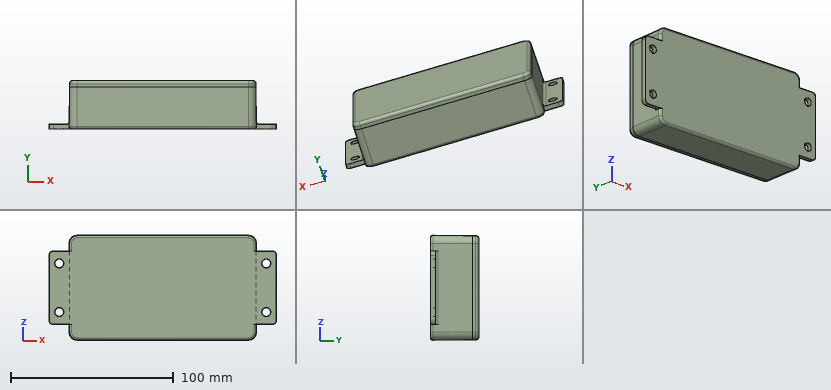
import cadquery as cq
import math

overall_length = 139.7
overall_depth = 29.9
box_length = 115.1
box_height = 64.5
corner_radius = 5.0
draft_angle = 0.5

cover_thickness = 4.2
cover_edge_radius = 2.1
base_edge_radius = 1.5

flange_height = 45.1
flange_thickness = 3.1
flange_corner_radius = 2.7
flange_root_radius = 1.5

hole_diameter = 5.3
hole_spacing_x = 127.1
hole_spacing_z = 29.9

mounting_face_y = -overall_depth / 2
cover_face_y = overall_depth / 2
seam_y = cover_face_y - cover_thickness
draft_slope = math.tan(math.radians(draft_angle))


def section_plane(y):
    """Plane normal to Y whose local axes are X and Z, facing -Y."""
    return cq.Workplane("XZ", origin=(0, y, 0))


def drafted_block(start_y, end_y):
    """Round-cornered block that narrows toward +Y with the wall draft."""
    inset = (start_y - mounting_face_y) * draft_slope
    outline = cq.Sketch().rect(box_length - 2 * inset, box_height - 2 * inset)
    outline = outline.vertices().fillet(corner_radius - inset)
    return section_plane(start_y).placeSketch(outline).extrude(start_y - end_y, taper=draft_angle)


def make_flange():
    """Plate flush with the mounting face that sticks out past both ends of the box."""
    plate = section_plane(mounting_face_y).rect(overall_length, flange_height).extrude(-flange_thickness)
    return plate.edges("|Y").fillet(flange_corner_radius)


def round_flange_roots(housing):
    """Fillet the inside edges where the flange meets the two end walls."""
    flange_top_y = mounting_face_y + flange_thickness
    wall_x = box_length / 2 - flange_thickness * draft_slope
    for side in (-1, 1):
        root_edge = cq.selectors.NearestToPointSelector((side * wall_x, flange_top_y, 0))
        housing = housing.edges(root_edge).fillet(flange_root_radius)
    return housing


def make_housing():
    """Main box with its rounded mounting-face edge, end flanges and screw holes."""
    housing = drafted_block(mounting_face_y, seam_y).faces("<Y").edges().fillet(base_edge_radius)
    housing = housing.union(make_flange())
    housing = round_flange_roots(housing)
    holes = (
        section_plane(mounting_face_y)
        .rect(hole_spacing_x, hole_spacing_z, forConstruction=True)
        .vertices()
        .circle(hole_diameter / 2)
        .extrude(-flange_thickness)
    )
    return housing.cut(holes)


def make_cover():
    """Flat cover that continues the drafted walls and has a rounded outer edge."""
    return drafted_block(seam_y, cover_face_y).faces(">Y").edges().fillet(cover_edge_radius)


housing = make_housing()
cover = make_cover()

result = cq.Compound.makeCompound([housing.val(), cover.val()])